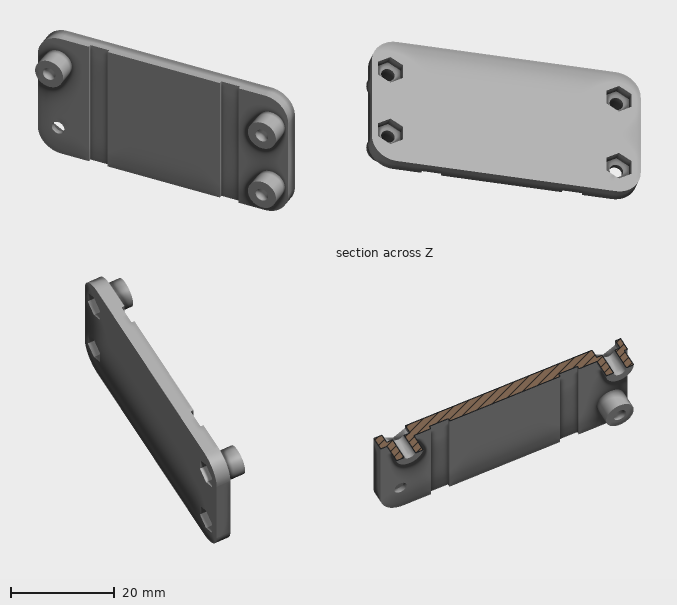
import cadquery as cq
import math

length = 53.65
height = 27.0
thickness = 3.0
corner_radius = 5.0

total_depth = 7.0
boss_diameter = 6.0
hole_diameter = 2.7
left_x = -22.5
right_x = 23.1
left_z = 7.55
plain_hole_z = -7.6
right_z = 7.0
boss_centers = [(left_x, left_z), (right_x, right_z), (right_x, -right_z)]
plain_hole_center = (left_x, plain_hole_z)

nut_across_flats = 5.0
nut_depth = 2.0

groove_width = 4.0
groove_depth = 0.65
groove_centers_x = [-13.85, 14.2]


def make_plate():
    plate = cq.Workplane("XZ").rect(length, height).extrude(thickness)
    return plate.edges("|Y").fillet(corner_radius)


def make_cylinders(centers, diameter):
    """Cylinders from the back face to the standoff tips."""
    return cq.Workplane("XZ").pushPoints(centers).circle(diameter / 2).extrude(total_depth)


def make_groove(center_x):
    return (
        cq.Workplane("XZ", origin=(center_x, groove_depth - thickness, 0))
        .rect(groove_width, height)
        .extrude(groove_depth)
    )


def make_nut_pockets(centers):
    """Hexagons with one corner pointing up."""
    across_corners = nut_across_flats / math.cos(math.pi / 6)
    pocket = (
        cq.Workplane("XZ")
        .transformed(rotate=(0, 0, 90))
        .polygon(6, across_corners)
        .extrude(nut_depth)
    )
    pockets = cq.Workplane("XZ")
    for x, z in centers:
        pockets = pockets.add(pocket.translate((x, 0, z)))
    return pockets.combine()


hole_centers = boss_centers + [plain_hole_center]
result = make_plate()
for groove_x in groove_centers_x:
    result = result.cut(make_groove(groove_x))
result = result.union(make_cylinders(boss_centers, boss_diameter))
result = result.cut(make_cylinders(hole_centers, hole_diameter))
result = result.cut(make_nut_pockets(hole_centers))